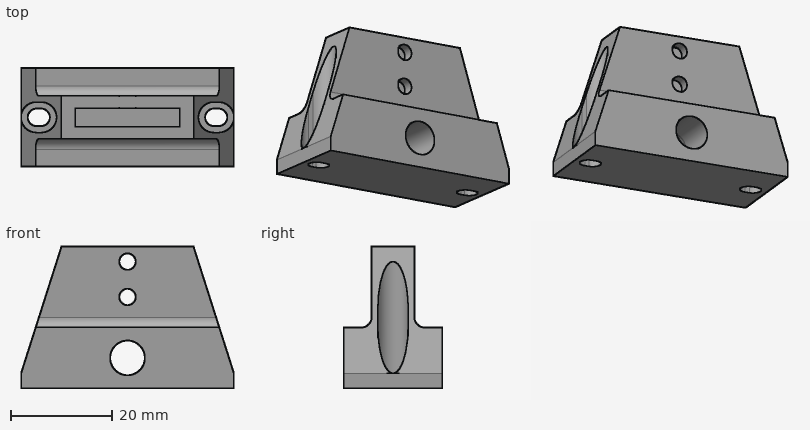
import cadquery as cq

length = 42.0
width = 19.5
height = 28.0

skirt_height = 3.0
top_length = 26.05

foot_height = 12.0
wall_thickness = 8.5
shoulder_radius = 2.0

pocket_length = 20.65
pocket_width = 3.65
pocket_floor = 14.0

pin_diameter = 3.2
pin_heights = (18.0, 25.0)
cross_hole_diameter = 6.8
cross_hole_height = 6.0

recess_length = 7.0
recess_width = 6.0
slot_length = 4.33
slot_width = 3.4
slot_offset = (length - recess_length) / 2
recess_floor = skirt_height


def make_body():
    """Cross section along X, trimmed to the sloped-end outline."""
    foot = cq.Workplane("XY").box(length, width, foot_height, centered=(True, True, False))
    wall = cq.Workplane("XY").box(length, wall_thickness, height, centered=(True, True, False))
    section = foot.union(wall)
    margin = 0.4
    inner_corners = cq.selectors.BoxSelector(
        (-length, -wall_thickness / 2 - margin, foot_height - margin),
        (length, wall_thickness / 2 + margin, foot_height + margin),
    )
    section = section.edges("|X").edges(inner_corners).fillet(shoulder_radius)
    outline = (
        cq.Workplane("XZ")
        .moveTo(-length / 2, 0)
        .lineTo(length / 2, 0)
        .lineTo(length / 2, skirt_height)
        .lineTo(top_length / 2, height)
        .lineTo(-top_length / 2, height)
        .lineTo(-length / 2, skirt_height)
        .close()
        .extrude(width / 2, both=True)
    )
    return section.intersect(outline)


def cross_hole(diameter, hole_height):
    """Cylinder running across the full width."""
    return (
        cq.Workplane("XZ")
        .center(0, hole_height)
        .circle(diameter / 2)
        .extrude(width / 2, both=True)
    )


def slot_prism(slot_center, overall_length, overall_width, bottom):
    """Vertical slot-shaped cutter from the given level up to the top."""
    return (
        cq.Workplane("XY", origin=(slot_center, 0, bottom))
        .slot2D(overall_length, overall_width)
        .extrude(height - bottom)
    )


result = make_body()

pocket = (
    cq.Workplane("XY", origin=(0, 0, pocket_floor))
    .rect(pocket_length, pocket_width)
    .extrude(height - pocket_floor)
)
result = result.cut(pocket)

for pin_height in pin_heights:
    result = result.cut(cross_hole(pin_diameter, pin_height))
result = result.cut(cross_hole(cross_hole_diameter, cross_hole_height))

for slot_center in (-slot_offset, slot_offset):
    result = result.cut(slot_prism(slot_center, recess_length, recess_width, recess_floor))
    result = result.cut(slot_prism(slot_center, slot_length, slot_width, 0))